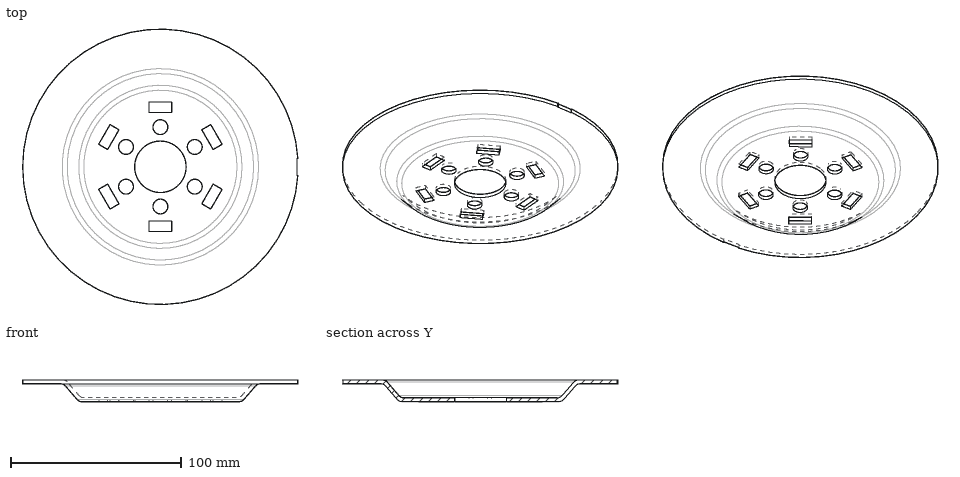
import cadquery as cq
import math

rim_radius = 81.0
height = 13.0
thickness = 2.5
drop = height - thickness

wall_angle = math.radians(49)
floor_radius = 45.0
bend_radius = 3.9
lower_face_shift = thickness * math.tan(wall_angle / 2)


bore_diameter = 30.1
opening_count = 6
bolt_hole_diameter = 8.6
bolt_circle_radius = 23.3
slot_length = 13.3
slot_width = 6.0
slot_circle_radius = 35.0

notch_width = 10.0
notch_depth = 0.6


def polar(center, radius, angle):
    """Point at an angle (radians) from +X around a center."""
    return (
        center[0] + radius * math.cos(angle),
        center[1] + radius * math.sin(angle),
    )


def dish_solid(flat_radius, base):
    """Solid of revolution above one dish face, whose floor lies at height base."""
    bend_run = bend_radius * math.sin(wall_angle)
    bend_rise = bend_radius * (1 - math.cos(wall_angle))
    wall_run = (drop - 2 * bend_rise) / math.tan(wall_angle)
    floor_center = (flat_radius, base + bend_radius)
    rim_center = (flat_radius + 2 * bend_run + wall_run, base + drop - bend_radius)

    down = -math.pi / 2
    up = math.pi / 2
    section = (
        cq.Workplane("XZ")
        .moveTo(0, base)
        .lineTo(flat_radius, base)
        .threePointArc(
            polar(floor_center, bend_radius, down + wall_angle / 2),
            polar(floor_center, bend_radius, down + wall_angle),
        )
        .lineTo(*polar(rim_center, bend_radius, up + wall_angle))
        .threePointArc(
            polar(rim_center, bend_radius, up + wall_angle / 2),
            polar(rim_center, bend_radius, up),
        )
        .lineTo(rim_radius, base + drop)
        .lineTo(rim_radius, height + thickness)
        .lineTo(0, height + thickness)
        .close()
    )
    return section.revolve(360, (0, 0, 0), (0, 1, 0))


def make_dish():
    """Sheet left between the lower and upper dish faces."""
    above_lower_face = dish_solid(floor_radius + lower_face_shift, 0)
    above_upper_face = dish_solid(floor_radius, thickness)
    return above_lower_face.cut(above_upper_face)


def make_openings():
    """Center bore with rings of bolt holes and tangential slots."""
    first_angle = 90
    bore = cq.Workplane("XY").circle(bore_diameter / 2).extrude(height)
    bolt_holes = (
        cq.Workplane("XY")
        .polarArray(bolt_circle_radius, first_angle, 360, opening_count)
        .circle(bolt_hole_diameter / 2)
        .extrude(height)
    )
    slots = (
        cq.Workplane("XY")
        .polarArray(slot_circle_radius, first_angle, 360, opening_count)
        .rect(slot_width, slot_length)
        .extrude(height)
    )
    return bore.union(bolt_holes).union(slots)


def make_notch():
    """Block whose inner face is the flat bottom of the rim notch."""
    block_length = 2 * notch_depth
    return cq.Workplane("XY").box(
        block_length, notch_width, height, centered=(False, True, False)
    ).translate((rim_radius - notch_depth, 0, 0))


result = make_dish().cut(make_openings()).cut(make_notch())